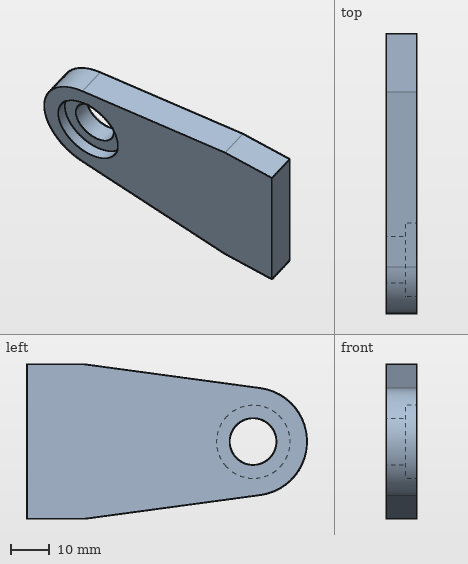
import cadquery as cq
import math

length = 72.45
height = 40.0
thickness = 8.0
square_length = 15.0
tip_radius = 14.0
hole_diameter = 12.0
counterbore_diameter = 19.0
counterbore_depth = 3.0

tip_y = -tip_radius
square_end_y = tip_y + length
shoulder_y = square_end_y - square_length
half_height = height / 2

shoulder_distance = math.hypot(shoulder_y, half_height)
shoulder_angle = math.atan2(half_height, shoulder_y)
tangent_angle = shoulder_angle + math.acos(tip_radius / shoulder_distance)
tangent_y = tip_radius * math.cos(tangent_angle)
tangent_z = tip_radius * math.sin(tangent_angle)


def plate():
    """Flat plate with a square end tapering tangentially to a rounded tip."""
    return (
        cq.Workplane("YZ")
        .moveTo(square_end_y, -half_height)
        .lineTo(square_end_y, half_height)
        .lineTo(shoulder_y, half_height)
        .lineTo(tangent_y, tangent_z)
        .threePointArc((tip_y, 0), (tangent_y, -tangent_z))
        .lineTo(shoulder_y, -half_height)
        .close()
        .extrude(thickness / 2, both=True)
    )


def pin_hole():
    """Cylinder that cuts the hole through the full thickness."""
    return cq.Workplane("YZ").circle(hole_diameter / 2).extrude(thickness / 2, both=True)


def counterbore():
    """Cylinder that cuts the counterbore into the +X face, concentric with the hole."""
    return (
        cq.Workplane("YZ")
        .workplane(offset=thickness / 2 - counterbore_depth)
        .circle(counterbore_diameter / 2)
        .extrude(counterbore_depth)
    )


result = plate().cut(pin_hole()).cut(counterbore())